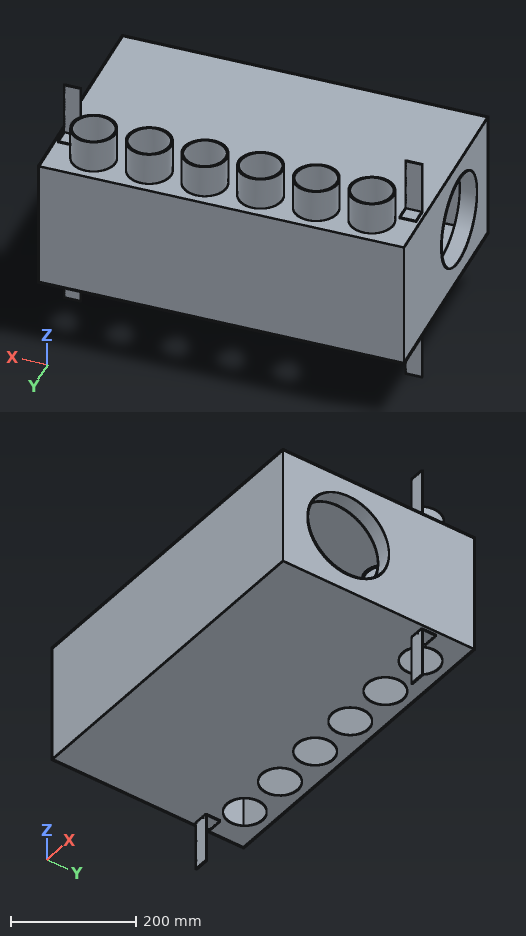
import cadquery as cq

length = 625.0
depth = 380.0
height = 230.0
wall = 1.0

port_diameter = 160.0
port_y = -60.0
collar_length = 30.0
collar_wall = 1.0

pipe_count = 6
pipe_pitch = 95.0
pipe_diameter = 75.0
pipe_wall = 2.5
pipe_height = 57.5
pipe_y = 137.5

bracket_width = 28.0
bracket_thickness = 2.0
bracket_height = 95.0
bracket_front_y = 90.0
bracket_end_gap = 7.0

pipe_bore = pipe_diameter - 2 * pipe_wall
pipe_centres = [((i - (pipe_count - 1) / 2) * pipe_pitch, pipe_y) for i in range(pipe_count)]


def make_box():
    outside = cq.Workplane("XY").box(length, depth, height)
    inside = cq.Workplane("XY").box(length - 2 * wall, depth - 2 * wall, height - 2 * wall)
    return outside.cut(inside)


def port_cylinder(diameter, start_x, cylinder_length):
    """Cylinder along +X on the axis of the side ports."""
    plane = cq.Workplane("YZ", origin=(start_x, port_y, 0))
    return plane.circle(diameter / 2).extrude(cylinder_length)


def add_side_ports(body):
    collar_diameter = port_diameter + 2 * collar_wall
    for start_x in (-length / 2, length / 2 - collar_length):
        body = body.union(port_cylinder(collar_diameter, start_x, collar_length))
    return body.cut(port_cylinder(port_diameter, -length / 2, length))


def add_pipes(body):
    lid_underside = cq.Workplane("XY").workplane(offset=height / 2 - wall)
    pipes = lid_underside.pushPoints(pipe_centres).circle(pipe_diameter / 2).extrude(wall + pipe_height)
    floor = cq.Workplane("XY").workplane(offset=-height / 2)
    bores = floor.pushPoints(pipe_centres).circle(pipe_bore / 2).extrude(height + pipe_height)
    return body.union(pipes).cut(bores)


def make_bracket():
    """Bracket on the lid at the +X end: an upright plate with a foot reaching towards +Y."""
    centre_x = length / 2 - bracket_end_gap - bracket_width / 2
    base = cq.Workplane("XY", origin=(centre_x, bracket_front_y, height / 2))
    upright = base.box(bracket_width, bracket_thickness, bracket_height, centered=(True, False, False))
    foot = base.box(bracket_width, bracket_width, bracket_thickness, centered=(True, False, False))
    return upright.union(foot)


def add_brackets(body):
    right_top = make_bracket()
    for bracket in (right_top, right_top.mirror("YZ")):
        body = body.union(bracket).union(bracket.mirror("XY"))
    return body


result = add_brackets(add_pipes(add_side_ports(make_box())))